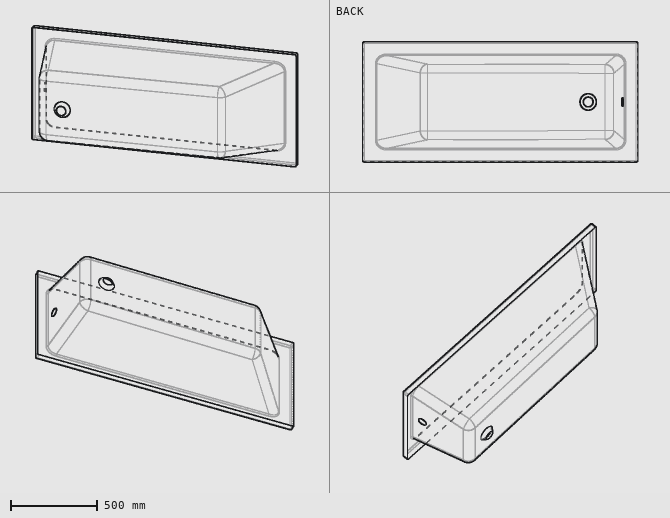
import cadquery as cq
import math

length = 1600.0
width = 700.0
wall = 4.0

skirt_depth = 40.0
bend_radius = 11.0
inner_bend_radius = bend_radius - wall

foot_end_x = -725.0
head_end_x = 723.0
basin_half_width = 274.0
foot_draft = 10.0
head_draft = 35.4
side_draft = 8.6
foot_depth = 402.0
head_depth = 384.0
basin_radius = 55.0

drain_x = -510.0
drain_tip_depth = 422.0
drain_top_radius = 50.0
drain_tip_radius = 30.0

overflow_depth = 75.0
overflow_diameter = 53.0


def drafted(distance, angle):
    """Inward shift of a wall after running the given distance at a draft angle."""
    return distance * math.tan(math.radians(angle))


foot_floor_x = foot_end_x + drafted(foot_depth, foot_draft)
head_floor_x = head_end_x - drafted(head_depth, head_draft)
floor_half_width = basin_half_width - drafted(foot_depth, side_draft)


def make_rim():
    """Flat rim with a skirt, hollow on its -Y side."""
    block = cq.Workplane("XY").box(length, skirt_depth, width).translate((0, -skirt_depth / 2, 0))
    block = block.edges("|Y").fillet(bend_radius)
    block = block.faces(">Y").edges().fillet(bend_radius)
    return block.faces("<Y").shell(-wall)


def make_basin_body():
    """Solid outside form of the basin: drafted walls and a floor falling toward the foot end."""
    lengthwise = (
        cq.Workplane("XY")
        .polyline([
            (foot_end_x, 0),
            (head_end_x, 0),
            (head_floor_x, -head_depth),
            (foot_floor_x, -foot_depth),
        ])
        .close()
        .extrude(basin_half_width, both=True)
    )
    crosswise = (
        cq.Workplane("YZ")
        .polyline([
            (0, -basin_half_width),
            (0, basin_half_width),
            (-foot_depth, floor_half_width),
            (-foot_depth, -floor_half_width),
        ])
        .close()
        .extrude(length / 2, both=True)
    )
    return lengthwise.intersect(crosswise).edges("not >Y").fillet(basin_radius)


def basin_outline_edges(depth):
    """Selector for the edges around the basin that lie at the given depth in the rim sheet."""
    reach_x = length / 2 - bend_radius - wall
    reach_z = width / 2 - bend_radius - wall
    band = wall / 2
    return cq.selectors.BoxSelector(
        (-reach_x, -depth - band, -reach_z),
        (reach_x, -depth + band, reach_z),
        boundingbox=True,
    )


def make_tub():
    """Rim and basin joined into one sheet, with both sides of the bend between them rounded."""
    body = make_basin_body()
    cavity = body.cut(body.faces(">Y").shell(-wall))
    tub = make_rim().union(body)
    tub = tub.edges(basin_outline_edges(wall)).fillet(inner_bend_radius)
    tub = tub.cut(cavity)
    return tub.edges(basin_outline_edges(0)).fillet(bend_radius)


def make_drain_cone(inset):
    """Solid drain funnel about a Y axis, its radii and its floor level drawn in by the inset."""
    floor_slope = (foot_depth - head_depth) / (head_floor_x - foot_floor_x)
    floor_depth = foot_depth - floor_slope * (drain_x - foot_floor_x)
    top_radius = drain_top_radius - inset
    overlap = wall / 2
    return (
        cq.Workplane("XY")
        .polyline([
            (0, -floor_depth + inset + overlap),
            (top_radius, -floor_depth + inset + overlap),
            (top_radius, -floor_depth + inset),
            (drain_tip_radius - inset, -drain_tip_depth),
            (0, -drain_tip_depth),
        ])
        .close()
        .revolve(360, (0, 0, 0), (0, 1, 0))
        .translate((drain_x, 0, 0))
    )


def make_overflow_cutter():
    """Cylinder along X that passes only through the foot-end wall."""
    return (
        cq.Workplane("YZ", origin=(foot_floor_x, -overflow_depth, 0))
        .circle(overflow_diameter / 2)
        .extrude(foot_end_x - foot_floor_x)
    )


tub = make_tub()
tub = tub.union(make_drain_cone(0)).cut(make_drain_cone(wall))
result = tub.cut(make_overflow_cutter()).solids()